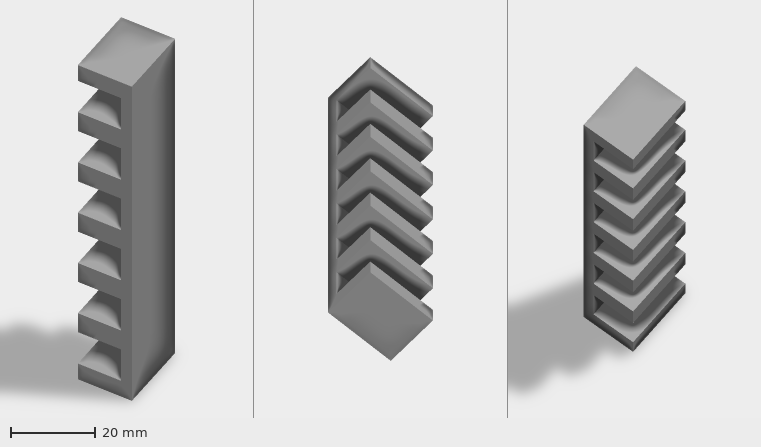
import cadquery as cq

width = 15.0
depth = 20.0
height = 100.0

spine_thickness = 3.0
end_tooth_height = 5.0
slot_height = 10.0
slot_count = 6

tooth_length = width - spine_thickness
inner_tooth_height = (
    height - 2 * end_tooth_height - slot_count * slot_height
) / (slot_count - 1)
slot_pitch = slot_height + inner_tooth_height

result = cq.Workplane("XY").box(width, depth, height, centered=False)

for slot_index in range(slot_count):
    slot_bottom = end_tooth_height + slot_index * slot_pitch
    slot = (
        cq.Workplane("XY")
        .box(tooth_length, depth, slot_height, centered=False)
        .translate((0, 0, slot_bottom))
    )
    result = result.cut(slot)